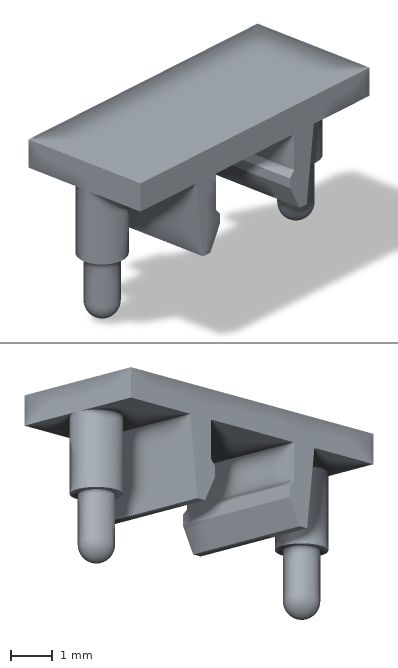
import cadquery as cq

PLATE_WIDTH = 3.56
PLATE_LENGTH = 8.26
PLATE_THICKNESS = 0.75

LEG_ROOT_OUTER_Y = 2.115
LEG_INNER_Y = 1.41
LEG_TIP_OUTER_Y = 1.87
LEG_TIP_INNER_Y = 1.61
LEG_DEPTH = 2.04
BARB_Y = 1.26
BARB_START_DEPTH = 0.96
BARB_TOP_DEPTH = 1.13
BARB_BOTTOM_DEPTH = 1.39

TOTAL_HEIGHT = 4.37
BARREL_RADIUS = 0.64
BARREL_LENGTH = 1.92
TIP_RADIUS = 0.45
PIN_LENGTH = TOTAL_HEIGHT - PLATE_THICKNESS
PIN_Y = PLATE_LENGTH / 2 - BARREL_RADIUS


def make_leg(side):
    """Tapered, barbed leg across the full plate width; side is the sign of its Y position."""
    profile = [
        (LEG_ROOT_OUTER_Y, 0),
        (LEG_TIP_OUTER_Y, -LEG_DEPTH),
        (LEG_TIP_INNER_Y, -LEG_DEPTH),
        (BARB_Y, -BARB_BOTTOM_DEPTH),
        (BARB_Y, -BARB_TOP_DEPTH),
        (LEG_INNER_Y, -BARB_START_DEPTH),
        (LEG_INNER_Y, 0),
    ]
    points = [(side * y, z) for y, z in profile]
    return cq.Workplane("YZ").polyline(points).close().extrude(PLATE_WIDTH / 2, both=True)


def make_cover():
    """Flat plate with two opposed snap legs underneath."""
    cover = cq.Workplane("XY").box(
        PLATE_WIDTH, PLATE_LENGTH, PLATE_THICKNESS, centered=(True, True, False)
    )
    for side in (-1, 1):
        cover = cover.union(make_leg(side))
    return cover


def make_pin(y):
    """Wide barrel against the plate, then a slimmer shank ending in a hemisphere."""
    dome_start = -PIN_LENGTH + TIP_RADIUS
    barrel = cq.Workplane("XY").center(0, y).circle(BARREL_RADIUS).extrude(-BARREL_LENGTH)
    shank = cq.Workplane("XY").center(0, y).circle(TIP_RADIUS).extrude(dome_start)
    dome = cq.Workplane("XY").sphere(TIP_RADIUS).translate((0, y, dome_start))
    return barrel.union(shank).union(dome)


cover = make_cover()
pins = [make_pin(side * PIN_Y) for side in (-1, 1)]

result = cq.Compound.makeCompound([cover.val(), *[pin.val() for pin in pins]])